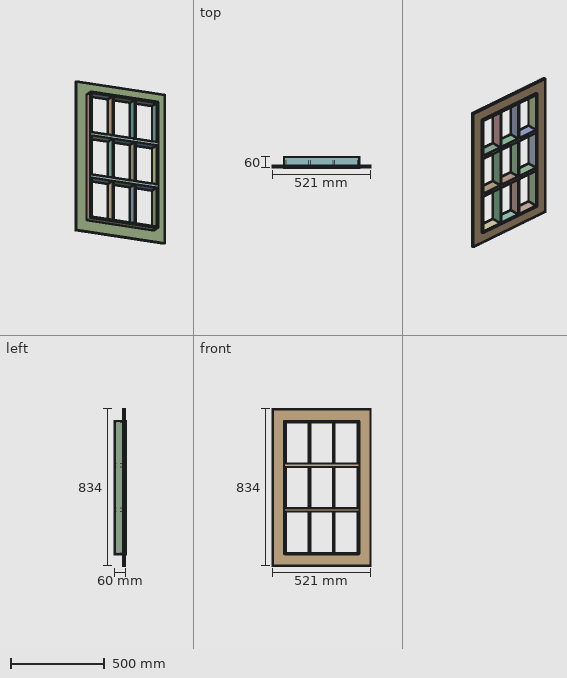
import cadquery as cq

plate_width = 521.0
plate_height = 834.0
plate_thickness = 10.0

frame_width = 402.0
frame_height = 710.5
frame_depth = 60.0
frame_corner_radius = 10.0
front_projection = 4.0

columns = 3
rows = 3
upright_width = 8.0
crossbar_height = 19.0
side_wall = 11.0
end_wall = 8.0
opening_width = (frame_width - 2 * side_wall - (columns - 1) * upright_width) / columns
opening_height = (frame_height - 2 * end_wall - (rows - 1) * crossbar_height) / rows


def centred_box(width, depth, height, front):
    """Box centred in X and Z, running toward +Y from the given front face."""
    return cq.Workplane("XY").box(width, depth, height).translate((0, front + depth / 2, 0))


plate = centred_box(plate_width, plate_thickness, plate_height, 0)
frame = centred_box(frame_width, frame_depth, frame_height, -front_projection)
frame = frame.edges("|Y").fillet(frame_corner_radius)

openings = (
    cq.Workplane("XZ", origin=(0, -front_projection, 0))
    .rarray(opening_width + upright_width, opening_height + crossbar_height, columns, rows)
    .rect(opening_width, opening_height)
    .extrude(-frame_depth)
)

result = plate.union(frame).cut(openings)